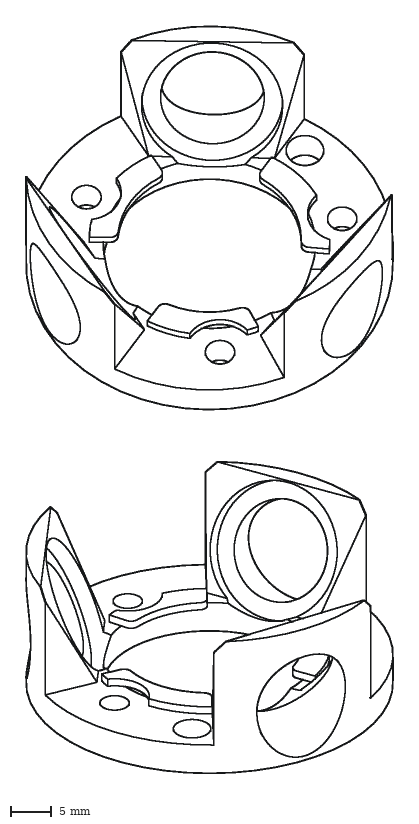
import cadquery as cq
import math

OUTER_RADIUS = 22.5
BORE_RADIUS = 13.0
BASE_HEIGHT = 4.0
TOTAL_HEIGHT = 18.5

POST_ANGLES = (-88.75, 26.35, 151.25)
POST_SPAN = 60.0
POST_TILT = 25.0
POST_FOOT_RADIUS = 13.35
POST_CHAMFER = 1.5
ENVELOPE_RADIUS = 1.5 * OUTER_RADIUS

LENS_BORE_RADIUS = 12.7 / 2
LENS_SEAT_RADIUS = 17.3 / 2
LENS_SEAT_DEPTH = 2.0
LENS_CENTRE_HEIGHT = 10.5
LENS_CUT_LENGTH = 12.0

TAB_INNER_RADIUS = 11.25
TAB_OUTER_RADIUS = 14.75
TAB_HEIGHT = 1.0
TAB_FILLET = 1.0

SCREW_RADIUS = 3.6 / 2
SCREW_CIRCLE_RADIUS = 16.72
SCREW_ANGLES = (-23.2, 75.8, 216.8)
SCREW_HEAD_RADIUS = 4.25
CABLE_HOLE_RADIUS = 4.6 / 2
CABLE_HOLE_CIRCLE_RADIUS = 18.55
CABLE_HOLE_ANGLE = 113.3

TILT_SLOPE = math.tan(math.radians(POST_TILT))


def polar(radius, angle):
    """Point at a radius and an angle in degrees about the ring axis."""
    return (radius * math.cos(math.radians(angle)), radius * math.sin(math.radians(angle)))


def turned(shape, angle):
    """Shape turned about the ring axis."""
    return shape.rotate((0, 0, 0), (0, 0, 1), angle)


def vertical_cylinder(centre, radius, bottom, height):
    """Cylinder parallel to the ring axis."""
    return cq.Workplane("XY", origin=(*centre, bottom)).circle(radius).extrude(height)


def sloped_face_radius(height):
    """Distance from the ring axis to the sloped post face at a given height."""
    return POST_FOOT_RADIUS + (height - BASE_HEIGHT) * TILT_SLOPE


def make_post_envelope(angle):
    """Wedge beyond the outer cylinder, with chamfered upper side edges and a sloped inner face."""
    half_span = POST_SPAN / 2
    wedge = (
        cq.Workplane("XY", origin=(0, 0, BASE_HEIGHT))
        .polyline([
            (0, 0),
            polar(ENVELOPE_RADIUS, -half_span),
            polar(ENVELOPE_RADIUS, half_span),
        ])
        .close()
        .extrude(TOTAL_HEIGHT - BASE_HEIGHT)
        .faces(">Z")
        .edges("not >X")
        .chamfer(POST_CHAMFER)
    )
    inner_space = (
        cq.Workplane("XZ")
        .polyline([
            (0, BASE_HEIGHT),
            (POST_FOOT_RADIUS, BASE_HEIGHT),
            (sloped_face_radius(TOTAL_HEIGHT), TOTAL_HEIGHT),
            (0, TOTAL_HEIGHT),
        ])
        .close()
        .extrude(OUTER_RADIUS, both=True)
    )
    return turned(wedge.cut(inner_space), angle)


def make_ring_with_posts():
    """Base ring and posts, left after clearing the tall cylinder around the posts."""
    clearing = vertical_cylinder(
        (0, 0), ENVELOPE_RADIUS, BASE_HEIGHT, TOTAL_HEIGHT - BASE_HEIGHT
    )
    for angle in POST_ANGLES:
        clearing = clearing.cut(make_post_envelope(angle))
    cylinder = vertical_cylinder((0, 0), OUTER_RADIUS, 0, TOTAL_HEIGHT)
    bore = vertical_cylinder((0, 0), BORE_RADIUS, 0, TOTAL_HEIGHT)
    return cylinder.cut(bore).cut(clearing)


def make_lens_cut(angle):
    """Through bore and wider seat, both running outward and down from the sloped face."""
    tilt = math.radians(POST_TILT)
    face = cq.Plane(
        origin=(sloped_face_radius(LENS_CENTRE_HEIGHT), 0, LENS_CENTRE_HEIGHT),
        xDir=(0, 1, 0),
        normal=(math.cos(tilt), 0, -math.sin(tilt)),
    )
    bore = cq.Workplane(face).circle(LENS_BORE_RADIUS).extrude(LENS_CUT_LENGTH)
    seat = (
        cq.Workplane(face)
        .workplane(offset=LENS_SEAT_DEPTH)
        .circle(LENS_SEAT_RADIUS)
        .extrude(-LENS_CUT_LENGTH)
    )
    return turned(bore.union(seat), angle)


def make_tab(start, end):
    """Ring segment on top of the base, overhanging the bore, with rounded inner corners."""
    half_span = (end - start) / 2
    tab = (
        cq.Workplane("XY", origin=(0, 0, BASE_HEIGHT))
        .moveTo(*polar(TAB_INNER_RADIUS, -half_span))
        .lineTo(*polar(TAB_OUTER_RADIUS, -half_span))
        .threePointArc((TAB_OUTER_RADIUS, 0), polar(TAB_OUTER_RADIUS, half_span))
        .lineTo(*polar(TAB_INNER_RADIUS, half_span))
        .threePointArc((TAB_INNER_RADIUS, 0), polar(TAB_INNER_RADIUS, -half_span))
        .close()
        .extrude(TAB_HEIGHT)
    )
    inner_corners = cq.selectors.BoxSelector(
        (0, -TAB_INNER_RADIUS, BASE_HEIGHT),
        (TAB_INNER_RADIUS, TAB_INNER_RADIUS, BASE_HEIGHT + TAB_HEIGHT),
    )
    tab = tab.edges("|Z").edges(inner_corners).fillet(TAB_FILLET)
    return turned(tab, (start + end) / 2)


def make_body():
    """Base ring with the posts, the lens seats, the tabs and the vertical holes."""
    body = make_ring_with_posts()
    for angle in POST_ANGLES:
        body = body.cut(make_lens_cut(angle))

    next_posts = POST_ANGLES[1:] + (POST_ANGLES[0] + 360,)
    for post, next_post in zip(POST_ANGLES, next_posts):
        tab = make_tab(post + POST_SPAN / 2, next_post - POST_SPAN / 2)
        for angle in SCREW_ANGLES:
            centre = polar(SCREW_CIRCLE_RADIUS, angle)
            tab = tab.cut(vertical_cylinder(centre, SCREW_HEAD_RADIUS, BASE_HEIGHT, TAB_HEIGHT))
        body = body.union(tab)

    for angle in SCREW_ANGLES:
        centre = polar(SCREW_CIRCLE_RADIUS, angle)
        body = body.cut(vertical_cylinder(centre, SCREW_RADIUS, 0, BASE_HEIGHT))
    cable_centre = polar(CABLE_HOLE_CIRCLE_RADIUS, CABLE_HOLE_ANGLE)
    return body.cut(vertical_cylinder(cable_centre, CABLE_HOLE_RADIUS, 0, TOTAL_HEIGHT))


result = make_body()